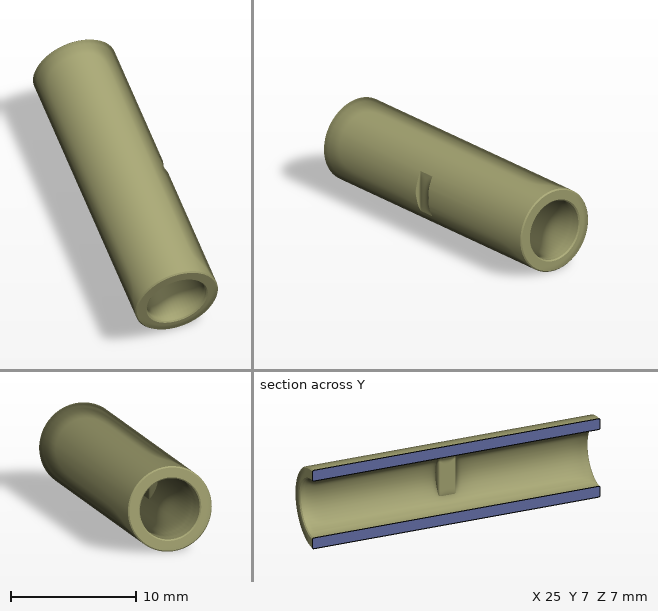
import cadquery as cq
import math

length = 25.0
outer_diameter = 7.0
bore_diameter = 5.0
end_chamfer = 0.1

notch_width = 1.5
notch_depth = 0.45
notch_rounding = 0.1
ridge_width = notch_width
ridge_height = 0.75
ridge_rounding = 0.15

outer_radius = outer_diameter / 2
bore_radius = bore_diameter / 2
notch_floor_y = outer_radius - notch_depth
ridge_top_y = bore_radius - ridge_height


def rod(diameter):
    """Solid cylinder along X, centred on the origin."""
    return cq.Workplane("YZ").circle(diameter / 2).extrude(length / 2, both=True)


def make_tube():
    """Plain tube with chamfered outer and bore rims at both ends."""
    tube = rod(outer_diameter).cut(rod(bore_diameter))
    return tube.faces("<X or >X").edges().chamfer(end_chamfer)


def make_ridge():
    """Segment across the bore, with its two long inner edges rounded."""
    height = outer_radius - ridge_top_y
    block = cq.Workplane("XY").box(ridge_width, height, outer_diameter)
    block = block.translate((0, ridge_top_y + height / 2, 0))
    block = block.edges("|Z and <Y").fillet(ridge_rounding)
    wall_middle_diameter = (outer_diameter + bore_diameter) / 2
    return block.intersect(rod(wall_middle_diameter))


def make_notch():
    """Flat-bottomed cutter along Z whose mouth flares out in two convex arcs."""
    half_width = notch_width / 2
    mouth_half_width = half_width + notch_rounding
    flare_start_y = outer_radius - notch_rounding
    arc_offset = notch_rounding * math.sqrt(0.5)
    arc_x = mouth_half_width - arc_offset
    arc_y = flare_start_y + arc_offset
    profile = (
        cq.Workplane("XY")
        .moveTo(-half_width, notch_floor_y)
        .lineTo(half_width, notch_floor_y)
        .lineTo(half_width, flare_start_y)
        .threePointArc((arc_x, arc_y), (mouth_half_width, outer_radius))
        .lineTo(-mouth_half_width, outer_radius)
        .threePointArc((-arc_x, arc_y), (-half_width, flare_start_y))
        .close()
    )
    return profile.extrude(outer_radius, both=True)


result = make_tube().union(make_ridge()).cut(make_notch())